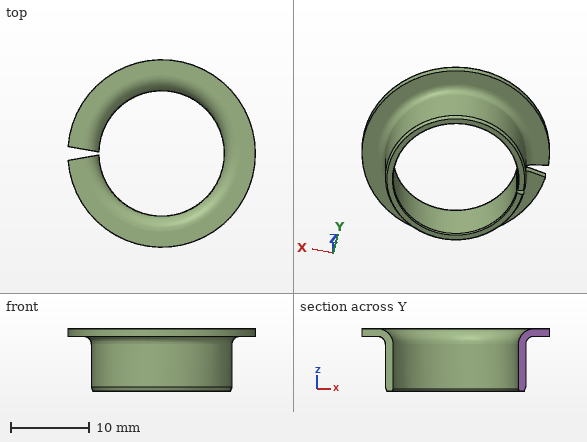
import cadquery as cq
import math

bore_radius = 8.0
wall_thickness = 1.0
flange_radius = 12.0
total_height = 8.0

outer_bend_radius = 1.0
inner_bend_radius = outer_bend_radius + wall_thickness

outer_chamfer_width = 0.2
inner_chamfer_width = 0.1
chamfer_angle = 20.0

split_half_angle = 10.0
split_apex_distance = 7.0
split_overrun = 1.0

sleeve_radius = bore_radius + wall_thickness
outer_chamfer_height = outer_chamfer_width / math.tan(math.radians(chamfer_angle))
inner_chamfer_height = inner_chamfer_width / math.tan(math.radians(chamfer_angle))
flange_underside = total_height - wall_thickness
bend_center_radius = sleeve_radius + outer_bend_radius
bend_start_height = flange_underside - outer_bend_radius


def bend_midpoint(radius):
    """Point halfway along a quarter bend, as (radial distance, height)."""
    offset = radius * math.sqrt(0.5)
    return (bend_center_radius - offset, bend_start_height + offset)


def make_bushing():
    """Revolve the wall section around the Z axis, with the seam turned to the -X side."""
    section = (
        cq.Workplane("XZ")
        .moveTo(bore_radius + inner_chamfer_width, 0)
        .lineTo(sleeve_radius - outer_chamfer_width, 0)
        .lineTo(sleeve_radius, outer_chamfer_height)
        .lineTo(sleeve_radius, bend_start_height)
        .threePointArc(bend_midpoint(outer_bend_radius), (bend_center_radius, flange_underside))
        .lineTo(flange_radius, flange_underside)
        .lineTo(flange_radius, total_height)
        .lineTo(bend_center_radius, total_height)
        .threePointArc(bend_midpoint(inner_bend_radius), (bore_radius, bend_start_height))
        .lineTo(bore_radius, inner_chamfer_height)
        .close()
    )
    ring = section.revolve(360, (0, 0, 0), (0, 1, 0))
    return ring.rotate((0, 0, 0), (0, 0, 1), 180)


def make_split():
    """Full-height wedge that opens the ring on the -X side."""
    reach = flange_radius + split_overrun
    half_width = (reach - split_apex_distance) * math.tan(math.radians(split_half_angle))
    outline = [
        (-split_apex_distance, 0),
        (-reach, half_width),
        (-reach, -half_width),
    ]
    return cq.Workplane("XY").polyline(outline).close().extrude(total_height)


result = make_bushing().cut(make_split())